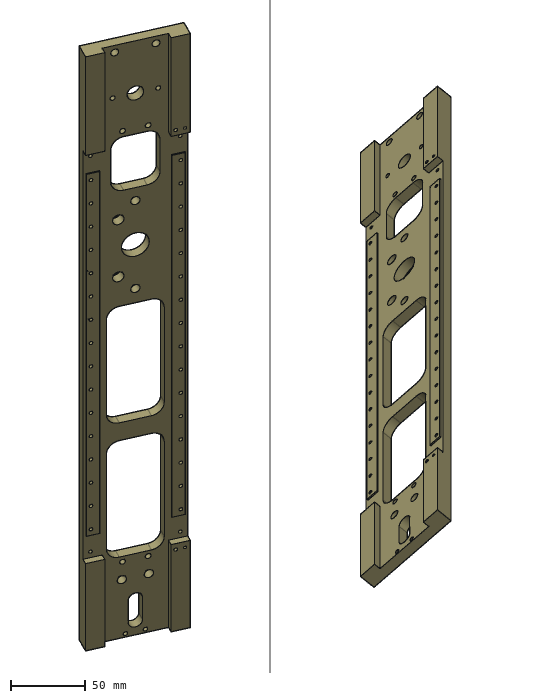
import cadquery as cq

length = 510.0
width = 75.0
thickness = 13.0
web_thickness = 7.5

channel_width = 47.5
lower_block_top = 75.0
upper_block_bottom = 425.5

pad_height = 1.0
pad_bottom = 95.0
pad_top = 405.5
pad_edge_inset = 2.0
pad_width = (width - channel_width) / 2 - 2 * pad_edge_inset

window_corner_radius = 9.0
upper_window_width = 35.0
upper_window_height = 46.0
upper_window_z = 407.0
lower_window_width = 41.5
lower_window_height = 100.0
lower_window_z = 120.0
lower_window_pitch = 115.5

slot_width = 10.0
slot_length = 29.0
slot_z = 21.5

row_y = 32.0
row_bottom_z = 80.0
row_length = 339.5
row_count = 18
row_diameter = 2.5

hole_pairs = [
    (15.0, 504.0, 5.5),
    (16.5, 465.0, 3.5),
    (9.0, 435.0, 4.0),
    (9.0, 65.5, 4.0),
    (9.5, 50.0, 6.5),
    (7.0, 3.0, 3.0),
]

pin_holes = [(33.5, 2.0), (27.0, 2.5)]
pin_lower_z = 70.0
pin_upper_z = 430.0

bearing_z = 465.0
bearing_diameter = 11.5

shaft_z = 335.0
shaft_diameter = 20.0
centre_hole_offset = 37.5
centre_hole_diameter = 6.5
side_hole_y = -12.0
side_hole_offset = 24.5
side_hole_diameter = 8.0


def block(x_min, x_max, y_centre, y_size, z_min, z_max):
    """Box given by its X range, its centred Y size and its Z range."""
    return cq.Workplane("XY").box(
        x_max - x_min, y_size, z_max - z_min, centered=(False, True, False)
    ).translate((x_min, y_centre, z_min))


def hole(y, z, diameter):
    """Cutter for a round hole through the full thickness."""
    return cq.Workplane("YZ").center(y, z).circle(diameter / 2).extrude(thickness)


def window(z, y_size, z_size):
    """Cutter for a centred window with rounded corners."""
    cutter = block(0, thickness, 0, y_size, z - z_size / 2, z + z_size / 2)
    return cutter.edges("|X").fillet(window_corner_radius)


def make_plate():
    """Web with channelled end blocks at both ends and two thin pads on its back."""
    plate = block(0, thickness, 0, width, 0, length)
    plate = plate.cut(block(web_thickness, thickness, 0, channel_width, 0, length))
    plate = plate.cut(block(web_thickness, thickness, 0, width, lower_block_top, upper_block_bottom))
    pad_y = (width - pad_width) / 2 - pad_edge_inset
    for side in (-1, 1):
        pad = block(0, web_thickness + pad_height, side * pad_y, pad_width, pad_bottom, pad_top)
        plate = plate.union(pad)
    return plate


def opening_cutters():
    """Windows and the end slot."""
    slot = cq.Workplane("YZ").center(0, slot_z).slot2D(slot_length, slot_width, 90).extrude(thickness)
    return [
        window(upper_window_z, upper_window_width, upper_window_height),
        window(lower_window_z, lower_window_width, lower_window_height),
        window(lower_window_z + lower_window_pitch, lower_window_width, lower_window_height),
        slot,
    ]


def hole_cutters():
    """All round holes."""
    cutters = [hole(0, bearing_z, bearing_diameter), hole(0, shaft_z, shaft_diameter)]
    for side in (-1, 1):
        cutters.append(hole(0, shaft_z + side * centre_hole_offset, centre_hole_diameter))
        cutters.append(hole(side_hole_y, shaft_z + side * side_hole_offset, side_hole_diameter))
        for half_spacing, z, diameter in hole_pairs:
            cutters.append(hole(side * half_spacing, z, diameter))
        for i in range(row_count):
            row_z = row_bottom_z + i * row_length / (row_count - 1)
            cutters.append(hole(side * row_y, row_z, row_diameter))
    for y, diameter in pin_holes:
        for z in (pin_lower_z, pin_upper_z):
            cutters.append(hole(y, z, diameter))
    return cutters


result = make_plate()
for cutter in opening_cutters() + hole_cutters():
    result = result.cut(cutter)